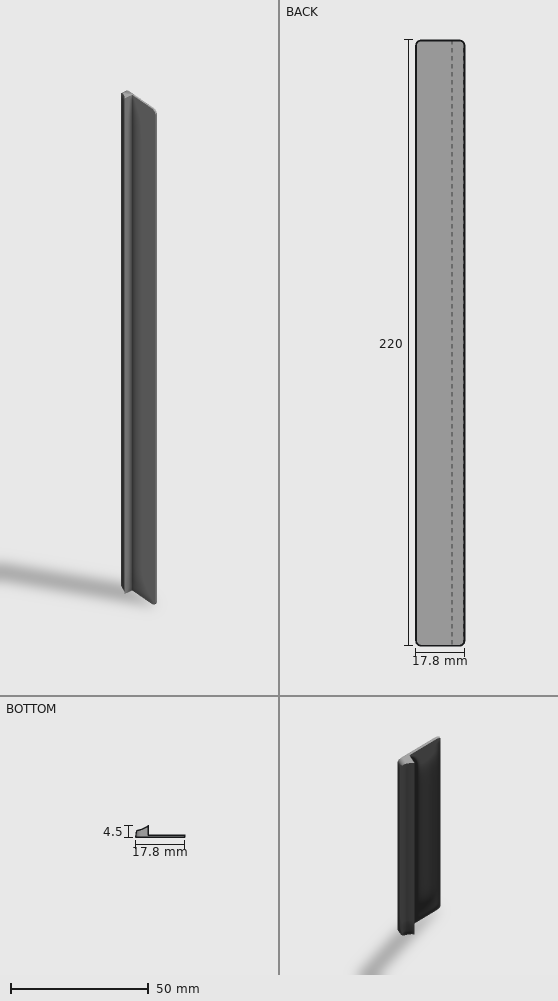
import cadquery as cq

length = 220.0
width = 17.8
depth = 4.5

plate_thickness = 0.9
lip_width = 4.6
flat_side_depth = 0.7
nose_depth = 2.6
nose_inset = 0.5
front_hollow = 0.33
corner_radius = 2.0
back_chamfer = 0.2

back_y = depth / 2
plate_front_y = back_y - plate_thickness
flat_side_y = back_y - flat_side_depth
nose_y = back_y - nose_depth
tip_y = back_y - depth
left_x = -width / 2
right_x = width / 2
nose_x = left_x + nose_inset
lip_x = left_x + lip_width


def strip_with_lip():
    """Constant section: thin plate with a lip whose concave front ends in a sharp tip."""
    front_middle = ((nose_x + lip_x) / 2, (nose_y + tip_y) / 2 + front_hollow)
    return (
        cq.Workplane("XY")
        .workplane(offset=-length / 2)
        .moveTo(left_x, back_y)
        .lineTo(left_x, flat_side_y)
        .tangentArcPoint((nose_x, nose_y), relative=False)
        .threePointArc(front_middle, (lip_x, tip_y))
        .lineTo(lip_x, plate_front_y)
        .lineTo(right_x, plate_front_y)
        .lineTo(right_x, back_y)
        .close()
        .extrude(length)
    )


def rounded_outline():
    """Full-depth block with rounded corners and a chamfer all around its back face."""
    block = cq.Workplane("XY").box(width, depth, length).edges("|Y").fillet(corner_radius)
    return block.faces(">Y").edges().chamfer(back_chamfer)


result = strip_with_lip().intersect(rounded_outline())